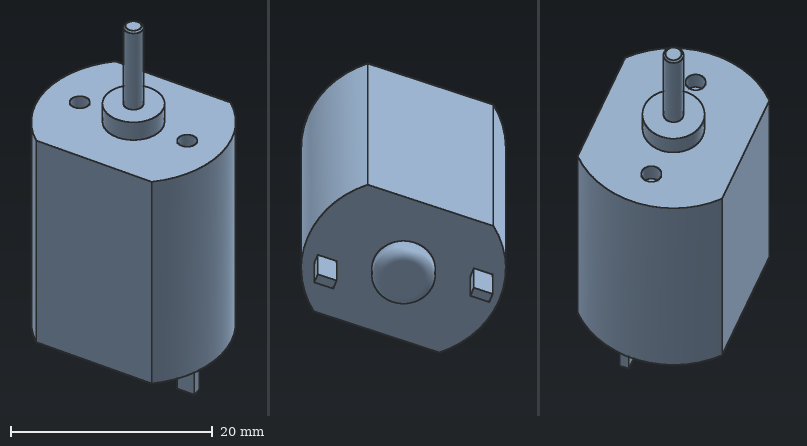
import cadquery as cq

total_height = 40.85

housing_diameter = 20.3
housing_across_flats = 15.3
housing_height = 25.0

boss_height = 2.2
front_boss_diameter = 6.15
rear_boss_diameter = 6.3
rear_boss_fillet = 1.0

mount_hole_diameter = 2.0
mount_hole_depth = 2.0
mount_hole_offset = 6.2

terminal_width = 2.0
terminal_thickness = 1.0
terminal_length = 4.0
terminal_offset_x = 7.5
terminal_offset_y = 2.0

shaft_diameter = 2.0
shaft_chamfer = 0.2
shaft_base = housing_height + boss_height
shaft_length = total_height - terminal_length - shaft_base


def make_housing():
    """Flatted can with both bosses and two blind mounting holes."""
    can = cq.Workplane("XY").circle(housing_diameter / 2).extrude(housing_height)
    flats = cq.Workplane("XY").rect(housing_diameter, housing_across_flats).extrude(housing_height)
    body = can.intersect(flats)

    front_boss = (
        cq.Workplane("XY", origin=(0, 0, housing_height))
        .circle(front_boss_diameter / 2)
        .extrude(boss_height)
    )
    rear_boss = (
        cq.Workplane("XY")
        .circle(rear_boss_diameter / 2)
        .extrude(-boss_height)
        .faces("<Z")
        .edges()
        .fillet(rear_boss_fillet)
    )
    mount_holes = (
        cq.Workplane("XY", origin=(0, 0, housing_height))
        .pushPoints([(-mount_hole_offset, 0), (mount_hole_offset, 0)])
        .circle(mount_hole_diameter / 2)
        .extrude(-mount_hole_depth)
    )
    return body.union(front_boss).union(rear_boss).cut(mount_holes)


def make_shaft():
    """Round shaft with a chamfered tip."""
    return (
        cq.Workplane("XY", origin=(0, 0, shaft_base))
        .circle(shaft_diameter / 2)
        .extrude(shaft_length)
        .faces(">Z")
        .chamfer(shaft_chamfer)
    )


def make_terminal(side):
    """Flat blade; side is -1 or +1 along X, and Y is offset the opposite way."""
    return (
        cq.Workplane("XY")
        .center(side * terminal_offset_x, -side * terminal_offset_y)
        .rect(terminal_width, terminal_thickness)
        .extrude(-terminal_length)
    )


housing = make_housing()
shaft = make_shaft()
terminals = [make_terminal(side) for side in (-1, 1)]

result = cq.Compound.makeCompound(
    [housing.val(), shaft.val(), *[terminal.val() for terminal in terminals]]
)